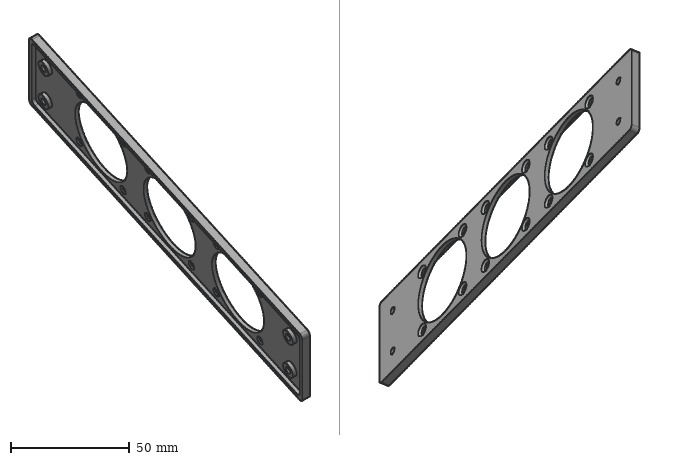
import cadquery as cq

length = 199.6
height = 44.45
thickness = 4.0
corner_radius = 2.0

rim_width = 2.0
recess_depth = 2.0
recess_corner_radius = 2.0

fan_count = 3
fan_pitch = 50.0
fan_diameter = 38.0
fan_screw_spacing = 32.0
fan_screw_diameter = 4.0

countersink_depth = 1.0
countersink_flank_angle = 45.0

boss_diameter = 7.2
boss_hole_diameter = 3.2
boss_height = recess_depth
boss_spacing_x = 178.6
boss_spacing_z = height / 2

front_y = -thickness / 2
back_y = front_y + thickness
floor_y = front_y + recess_depth


def plane_at(y):
    """XZ workplane at the given Y, with its normal pointing to +Y."""
    return cq.Workplane(cq.Plane(origin=(0, y, 0), xDir=(1, 0, 0), normal=(0, 1, 0)))


def rounded_block(size_x, size_z, start_y, depth, radius):
    """Rectangular block with its four Y-direction edges rounded."""
    return plane_at(start_y).rect(size_x, size_z).extrude(depth).edges("|Y").fillet(radius)


def cylinders(points, diameter, start_y, depth, flare_angle=0):
    """Equal cylinders along +Y, one at each point; a flare angle makes them cones that widen towards +Y.

    The plane's local Y runs along -Z, which is harmless because every layout is symmetric in Z.
    """
    circles = plane_at(start_y).pushPoints(points).circle(diameter / 2)
    return circles.extrude(depth, taper=-flare_angle)


def rectangle_corners(center_x, spacing_x, spacing_z):
    """Corners of a rectangle centred at (center_x, 0)."""
    return [
        (center_x + side_x * spacing_x / 2, side_z * spacing_z / 2)
        for side_x in (-1, 1)
        for side_z in (-1, 1)
    ]


def recessed_plate():
    plate = rounded_block(length, height, front_y, thickness, corner_radius)
    recess = rounded_block(
        length - 2 * rim_width,
        height - 2 * rim_width,
        front_y,
        recess_depth,
        recess_corner_radius,
    )
    return plate.cut(recess)


def add_bosses(plate):
    centers = rectangle_corners(0, boss_spacing_x, boss_spacing_z)
    bosses = cylinders(centers, boss_diameter, floor_y - boss_height, boss_height)
    holes = cylinders(centers, boss_hole_diameter, front_y, thickness)
    return plate.union(bosses).cut(holes)


def cut_fan_openings(plate):
    for index in range(fan_count):
        center_x = (index - (fan_count - 1) / 2) * fan_pitch
        screws = rectangle_corners(center_x, fan_screw_spacing, fan_screw_spacing)
        plate = plate.cut(cylinders([(center_x, 0)], fan_diameter, front_y, thickness))
        plate = plate.cut(cylinders(screws, fan_screw_diameter, front_y, thickness))
        countersinks = cylinders(
            screws,
            fan_screw_diameter,
            back_y - countersink_depth,
            countersink_depth,
            countersink_flank_angle,
        )
        plate = plate.cut(countersinks)
    return plate


result = cut_fan_openings(add_bosses(recessed_plate()))